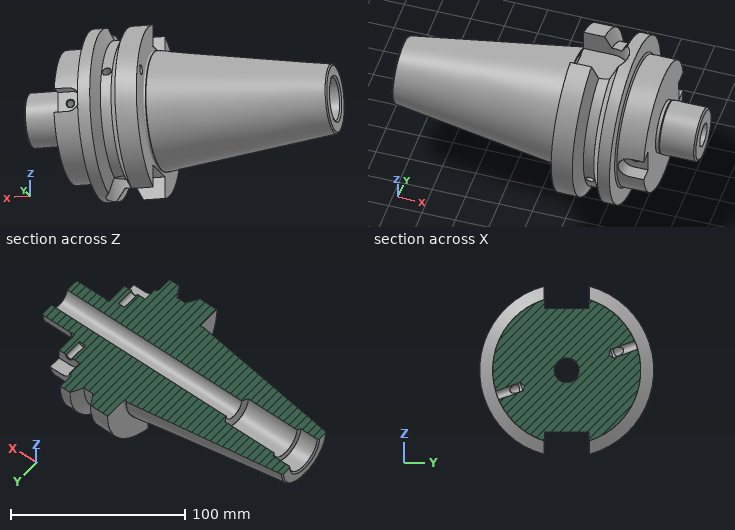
import math

import cadquery as cq


TAPER_RATIO = 7 / 24
GAUGE_DIA = 69.85
TAPER_LENGTH = 101.8
TAPER_END = 1.3
TAPER_TIP_CHAMFER = 0.8
RELIEF_DIA = 69.65
RELIEF_RAMP = 0.4
RELIEF_FILLET = 0.55

FLANGE_START = 3.0
FLANGE_END = 38.0
FLANGE_DIA = 100.0
GROOVE_DIA = 85.0
GROOVE_CENTRE = 23.2
GROOVE_FLOOR_WIDTH = 6.3
GROOVE_SIDE_ANGLE = 30.0

FLANGE_STEP_LENGTH = 1.0
FLANGE_STEP_DIA = 80.0
COLLAR_DIA = 78.0
COLLAR_END = 55.0
NECK_DIA = 31.4
NECK_LENGTH = 2.0
NECK_CHAMFER = 0.6
PILOT_DIA = 32.0
PILOT_LENGTH = 24.0
PILOT_CHAMFER = 1.0

DRILL_POINT_ANGLE = 118.0
THROUGH_DIA = 14.0
THREAD_DIA = 21.0
THREAD_DEPTH = 50.0
COUNTERBORE_DIA = 25.0
COUNTERBORE_DEPTH = 13.0
MOUTH_DIA = 27.0
MOUTH_DEPTH = 1.0

DRIVE_SLOT_WIDTH = 25.7
DRIVE_SLOT_FLOOR = 35.4
DRIVE_SLOT_END = 34.0

KEY_SEAT_WIDTH = 14.0
KEY_SEAT_START = 39.8
KEY_SEAT_FLOOR = 30.0
KEY_SCREW_X = 47.5
KEY_SCREW_DIA = 4.13
KEY_SCREW_MOUTH_DIA = 5.0
KEY_SCREW_DEPTH = 12.0

COOLANT_DIA = 5.0
COOLANT_RADIUS = 42.0
COOLANT_ANGLE = 20.0
COOLANT_SLOPE_ANGLE = 30.0
COOLANT_RADIAL_DEPTH = 15.0

PILOT_END = COLLAR_END + PILOT_LENGTH
TIP_X = -TAPER_LENGTH
FLANGE_RADIUS = FLANGE_DIA / 2


def taper_radius(x):
    """Radius of the steep taper at a position along the axis."""
    return (GAUGE_DIA + TAPER_RATIO * x) / 2


def drill_point_length(start_dia, end_dia=0.0):
    """Axial length of a drill point tapering between two diameters."""
    return (start_dia - end_dia) / 2 / math.tan(math.radians(DRILL_POINT_ANGLE / 2))


def make_drilled_hole(start, direction, diameter, depth):
    """Cutter for a blind hole of full diameter to the given depth, plus its drill point."""
    point = cq.Vector(*start)
    axis = cq.Vector(*direction)
    point_length = drill_point_length(diameter)
    barrel = cq.Solid.makeCylinder(diameter / 2, depth, point, axis)
    tip = cq.Solid.makeCone(diameter / 2, 0, point_length, point + axis * depth, axis)
    return cq.Workplane(barrel).union(cq.Workplane(tip))


def spin(outline):
    """Revolve a closed outline in the XY plane about the X axis."""
    return outline.revolve(360, (0, 0, 0), (1, 0, 0))


def make_body():
    """Solid of revolution carrying the taper, flange, collar and pilot."""
    floor_start = GROOVE_CENTRE - GROOVE_FLOOR_WIDTH / 2
    floor_end = GROOVE_CENTRE + GROOVE_FLOOR_WIDTH / 2
    groove_depth = (FLANGE_DIA - GROOVE_DIA) / 2
    side_run = groove_depth * math.tan(math.radians(GROOVE_SIDE_ANGLE))
    neck_end = COLLAR_END + NECK_LENGTH
    relief_radius = RELIEF_DIA / 2
    fillet_mid = RELIEF_FILLET * math.sqrt(0.5)
    fillet_centre_x = FLANGE_START - RELIEF_FILLET
    fillet_top = relief_radius + RELIEF_FILLET
    flange_and_pilot = [
        (FLANGE_START, FLANGE_RADIUS),
        (floor_start - side_run, FLANGE_RADIUS),
        (floor_start, GROOVE_DIA / 2),
        (floor_end, GROOVE_DIA / 2),
        (floor_end + side_run, FLANGE_RADIUS),
        (FLANGE_END, FLANGE_RADIUS),
        (FLANGE_END, FLANGE_STEP_DIA / 2),
        (FLANGE_END + FLANGE_STEP_LENGTH, COLLAR_DIA / 2),
        (COLLAR_END, COLLAR_DIA / 2),
        (COLLAR_END, NECK_DIA / 2),
        (neck_end, NECK_DIA / 2),
        (neck_end + NECK_CHAMFER, PILOT_DIA / 2),
        (PILOT_END - PILOT_CHAMFER, PILOT_DIA / 2),
        (PILOT_END, PILOT_DIA / 2 - PILOT_CHAMFER),
        (PILOT_END, 0),
    ]
    outline = (
        cq.Workplane("XY")
        .moveTo(TIP_X, 0)
        .lineTo(TIP_X, taper_radius(TIP_X) - TAPER_TIP_CHAMFER)
        .lineTo(TIP_X + TAPER_TIP_CHAMFER, taper_radius(TIP_X + TAPER_TIP_CHAMFER))
        .lineTo(TAPER_END, taper_radius(TAPER_END))
        .lineTo(TAPER_END + RELIEF_RAMP, relief_radius)
        .lineTo(fillet_centre_x, relief_radius)
        .threePointArc(
            (fillet_centre_x + fillet_mid, fillet_top - fillet_mid),
            (FLANGE_START, fillet_top),
        )
        .polyline(flange_and_pilot, includeCurrent=True)
        .close()
    )
    return spin(outline)


def make_bore():
    """Stepped bore: chamfered counterbore, thread core with drill point, and through hole."""
    counterbore_end = TIP_X + COUNTERBORE_DEPTH
    thread_end = TIP_X + THREAD_DEPTH
    outline = [
        (TIP_X, 0),
        (TIP_X, MOUTH_DIA / 2),
        (TIP_X + MOUTH_DEPTH, COUNTERBORE_DIA / 2),
        (counterbore_end, COUNTERBORE_DIA / 2),
        (counterbore_end + drill_point_length(COUNTERBORE_DIA, THREAD_DIA), THREAD_DIA / 2),
        (thread_end, THREAD_DIA / 2),
        (thread_end + drill_point_length(THREAD_DIA, THROUGH_DIA), THROUGH_DIA / 2),
        (PILOT_END, THROUGH_DIA / 2),
        (PILOT_END, 0),
    ]
    return spin(cq.Workplane("XY").polyline(outline).close())


def make_drive_slot():
    """Cutter for the +Z drive slot: open at the taper side, round at the other end."""
    centre_x = DRIVE_SLOT_END - DRIVE_SLOT_WIDTH / 2
    half_width = DRIVE_SLOT_WIDTH / 2
    return (
        cq.Workplane("XY", origin=(0, 0, DRIVE_SLOT_FLOOR))
        .moveTo(TAPER_END, -half_width)
        .lineTo(centre_x, -half_width)
        .threePointArc((DRIVE_SLOT_END, 0), (centre_x, half_width))
        .lineTo(TAPER_END, half_width)
        .close()
        .extrude(FLANGE_RADIUS)
    )


def make_key_seat():
    """Cutter for the -Y key seat, open at the collar face, with its screw hole."""
    half_width = KEY_SEAT_WIDTH / 2
    centre_x = KEY_SEAT_START + half_width
    seat_depth = COLLAR_DIA / 2 - KEY_SEAT_FLOOR
    floor = cq.Workplane("XZ", origin=(0, -KEY_SEAT_FLOOR, 0))
    seat = (
        floor.moveTo(COLLAR_END, -half_width)
        .lineTo(centre_x, -half_width)
        .threePointArc((KEY_SEAT_START, 0), (centre_x, half_width))
        .lineTo(COLLAR_END, half_width)
        .close()
        .extrude(seat_depth)
    )
    countersink_depth = (KEY_SCREW_MOUTH_DIA - KEY_SCREW_DIA) / 2
    hole = floor.center(KEY_SCREW_X, 0).circle(KEY_SCREW_DIA / 2).extrude(-KEY_SCREW_DEPTH)
    countersink = (
        floor.center(KEY_SCREW_X, 0)
        .circle(KEY_SCREW_MOUTH_DIA / 2)
        .workplane(offset=-countersink_depth)
        .circle(KEY_SCREW_DIA / 2)
        .loft()
    )
    return seat.union(hole).union(countersink)


def make_coolant_holes():
    """Cutter for a radial hole in the groove, met by a sloping hole from the flange face."""
    slope = math.radians(COOLANT_SLOPE_ANGLE)
    slope_direction = cq.Vector(math.cos(slope), -math.sin(slope), 0)
    face_point = cq.Vector(FLANGE_START, COOLANT_RADIUS, 0)
    outer_extension = COOLANT_DIA / 2 * math.tan(slope)
    inner_length = (GROOVE_CENTRE - FLANGE_START) / math.cos(slope)
    sloping = cq.Solid.makeCylinder(
        COOLANT_DIA / 2,
        outer_extension + inner_length,
        face_point - slope_direction * outer_extension,
        slope_direction,
    )
    radial_start = (GROOVE_CENTRE, FLANGE_RADIUS, 0)
    radial_depth = (FLANGE_DIA - GROOVE_DIA) / 2 + COOLANT_RADIAL_DEPTH
    radial = make_drilled_hole(radial_start, (0, -1, 0), COOLANT_DIA, radial_depth)
    return radial.union(cq.Workplane(sloping)).rotate((0, 0, 0), (1, 0, 0), COOLANT_ANGLE)


result = make_body().cut(make_bore())
for cutter in (make_drive_slot(), make_key_seat(), make_coolant_holes()):
    for turn in (0, 180):
        result = result.cut(cutter.rotate((0, 0, 0), (1, 0, 0), turn))